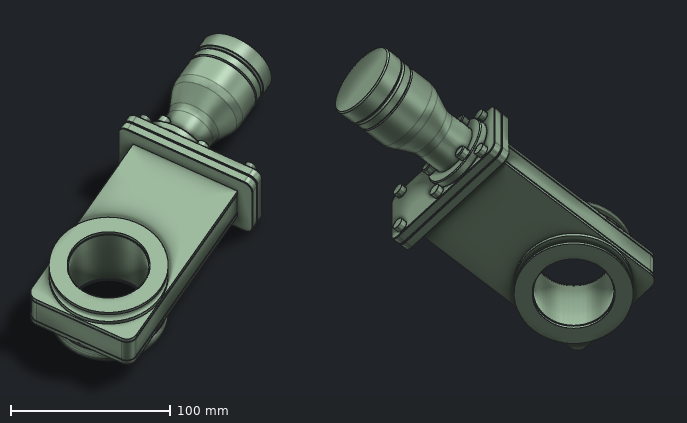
import cadquery as cq
import math


overall_length = 234.3
body_front = 38.2
handle_length = 85.0
handle_end = overall_length - body_front

body_width = 75.5
body_half_height = 13.1
cover_thickness = 3.5
wall_recess = 0.35
body_corner_radius = 7.0

port_half_length = 25.3
port_flange_radius = 37.5
port_rim_thickness = 3.0
port_rim_fillet = 1.6
clamp_angle = 15
port_neck_radius = 28.5
port_collar_height = 2.8
bore_radius = 25.3
seat_radius = 26.0
seat_depth = 2.3

bonnet_width = 96.8
bonnet_height = 50.5
bonnet_corner_radius = 6.3
bonnet_plate_thickness = 5.9
bonnet_edge_chamfer = 0.5
gasket_thickness = 1.0
gasket_inset = 0.5
bonnet_thickness = 2 * bonnet_plate_thickness + gasket_thickness
bonnet_rear = handle_end - handle_length
bonnet_front = bonnet_rear - bonnet_thickness

handle_x = -17.3
base_radius = 24.5
base_thickness = 6.0
base_chamfer = 0.7
neck_radius = 16.9
grip_radius = 24.8
cap_radius = 25.3
cap_length = 11.5
cap_chamfer = 1.0
cap_groove_radius = 24.0
cap_groove_rim_radius = 24.5
cap_groove_half_width = 1.5
ring_pitch = 7.3
vee_half_width = 0.7
grip_length = 40.5
taper_length = 18.3
taper_rear = handle_end - grip_length
taper_front = taper_rear - taper_length
taper_blend_radius = 14.0

screw_radius = 4.0
bonnet_screw_height = 4.2
bonnet_screw_x = 38.0
bonnet_screw_z = 19.7
bonnet_middle_screw_x = 3.5
base_screw_height = 5.5
base_screw_chamfer = 0.7
base_screw_circle_radius = 20.6
base_screw_count = 3


def body_slab(inset, z_bottom, z_top):
    """Body slab with rounded front corners, reaching back to the bonnet."""
    half_width = body_width / 2 - inset
    front = -body_front + inset
    return (
        cq.Workplane("XY", origin=(0, 0, z_bottom))
        .moveTo(-half_width, front)
        .lineTo(half_width, front)
        .lineTo(half_width, bonnet_front)
        .lineTo(-half_width, bonnet_front)
        .close()
        .extrude(z_top - z_bottom)
        .edges("|Z and <Y")
        .fillet(body_corner_radius - inset)
    )


def make_body():
    wall_half_height = body_half_height - cover_thickness
    body = body_slab(wall_recess, -wall_half_height, wall_half_height)
    body = body.union(body_slab(0, wall_half_height, body_half_height))
    return body.union(body_slab(0, -body_half_height, -wall_half_height))


def make_port():
    """Turned clamp flanges above and below the body, each seated in its cover plate."""
    rim_bottom = port_half_length - port_rim_thickness
    cone_drop = (port_flange_radius - port_neck_radius) * math.tan(math.radians(clamp_angle))
    collar_bottom = body_half_height - cover_thickness
    collar_top = body_half_height + port_collar_height
    upper = (
        cq.Workplane("XZ")
        .moveTo(0, collar_bottom)
        .lineTo(port_flange_radius, collar_bottom)
        .lineTo(port_flange_radius, collar_top)
        .lineTo(port_neck_radius, collar_top)
        .lineTo(port_neck_radius, rim_bottom - cone_drop)
        .lineTo(port_flange_radius, rim_bottom)
        .lineTo(port_flange_radius, port_half_length)
        .lineTo(0, port_half_length)
        .close()
        .revolve(360, (0, 0, 0), (0, 1, 0))
    )
    rim_edge = cq.selectors.NearestToPointSelector((0, 0, rim_bottom))
    upper = upper.edges("%CIRCLE").edges(rim_edge).fillet(port_rim_fillet)
    return upper.union(upper.mirror("XY"))


def cylinder_z(radius, z_bottom, z_top):
    return cq.Workplane("XY", origin=(0, 0, z_bottom)).circle(radius).extrude(z_top - z_bottom)


def make_bore():
    bore = cylinder_z(bore_radius, -port_half_length, port_half_length)
    bore = bore.union(cylinder_z(seat_radius, port_half_length - seat_depth, port_half_length))
    return bore.union(cylinder_z(seat_radius, -port_half_length, -port_half_length + seat_depth))


def bonnet_slab(inset, y_front, thickness):
    """Bonnet slab with rounded corners, extruded towards +Y."""
    return (
        cq.Workplane("XZ", origin=(0, y_front, 0))
        .rect(bonnet_width - 2 * inset, bonnet_height - 2 * inset)
        .extrude(-thickness)
        .edges("|Y")
        .fillet(bonnet_corner_radius - inset)
    )


def make_bonnet():
    front_plate = bonnet_slab(0, bonnet_front, bonnet_plate_thickness)
    front_plate = front_plate.faces("<Y").chamfer(bonnet_edge_chamfer)
    rear_plate_front = bonnet_rear - bonnet_plate_thickness
    rear_plate = bonnet_slab(0, rear_plate_front, bonnet_plate_thickness)
    rear_plate = rear_plate.faces(">Y").chamfer(bonnet_edge_chamfer)
    gasket_front = bonnet_front + bonnet_plate_thickness
    gasket = bonnet_slab(gasket_inset, gasket_front, gasket_thickness)
    return front_plate.union(gasket).union(rear_plate)


def make_handle():
    base_rear = bonnet_rear + base_thickness
    cap_front = handle_end - cap_length
    cap_groove_center = cap_front - cap_groove_half_width
    vee_center = cap_groove_center - ring_pitch
    handle = (
        cq.Workplane("XY")
        .moveTo(0, bonnet_rear)
        .lineTo(base_radius - base_chamfer, bonnet_rear)
        .lineTo(base_radius, bonnet_rear + base_chamfer)
        .lineTo(base_radius, base_rear - base_chamfer)
        .lineTo(base_radius - base_chamfer, base_rear)
        .lineTo(neck_radius, base_rear)
        .lineTo(neck_radius, taper_front)
        .lineTo(grip_radius, taper_rear)
        .lineTo(grip_radius, vee_center - vee_half_width)
        .lineTo(grip_radius - vee_half_width, vee_center)
        .lineTo(grip_radius, vee_center + vee_half_width)
        .lineTo(grip_radius, cap_groove_center - cap_groove_half_width)
        .lineTo(cap_groove_radius, cap_groove_center)
        .lineTo(cap_groove_rim_radius, cap_front)
        .lineTo(cap_radius, cap_front)
        .lineTo(cap_radius, handle_end - cap_chamfer)
        .lineTo(cap_radius - cap_chamfer, handle_end)
        .lineTo(0, handle_end)
        .close()
        .revolve(360, (0, 0, 0), (0, 1, 0))
    )
    for taper_end in (taper_front, taper_rear):
        taper_edge = cq.selectors.NearestToPointSelector((0, taper_end, 0))
        handle = handle.edges("%CIRCLE").edges(taper_edge).fillet(taper_blend_radius)
    return handle.translate((handle_x, 0, 0))


def screw_head(x, seat_y, z, height):
    return cq.Workplane("XZ", origin=(x, seat_y, z)).circle(screw_radius).extrude(-height)


def make_bonnet_screws():
    """Two rows of screws; the middle pair stands clear of the handle base."""
    screws = cq.Workplane("XY")
    for x in (-bonnet_screw_x, bonnet_middle_screw_x, bonnet_screw_x):
        for z in (-bonnet_screw_z, bonnet_screw_z):
            screws = screws.union(screw_head(x, bonnet_rear, z, bonnet_screw_height))
    return screws


def make_base_screws():
    """Chamfered screws on a circle around the handle neck."""
    screws = cq.Workplane("XY")
    for index in range(base_screw_count):
        angle = 2 * math.pi * index / base_screw_count
        x = handle_x + base_screw_circle_radius * math.cos(angle)
        z = base_screw_circle_radius * math.sin(angle)
        head = screw_head(x, bonnet_rear + base_thickness, z, base_screw_height)
        screws = screws.union(head.faces(">Y").chamfer(base_screw_chamfer))
    return screws


result = (
    make_body()
    .union(make_port())
    .cut(make_bore())
    .union(make_bonnet())
    .union(make_handle())
    .union(make_bonnet_screws())
    .union(make_base_screws())
)